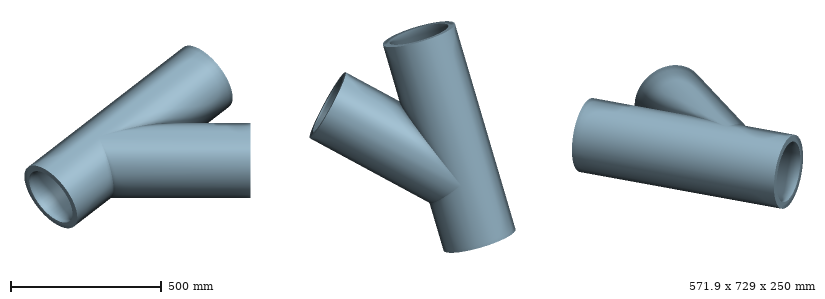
import cadquery as cq

outer_diameter = 250.0
wall_thickness = 22.7
bore_diameter = outer_diameter - 2 * wall_thickness

inlet_length = 222.0
outlet_length = 507.0
branch_length = outlet_length
branch_angle = 45.0


def run_cylinder(diameter):
    """Cylinder along Y through both ends of the run; the axes cross at the origin."""
    return (
        cq.Workplane("XZ", origin=(0, -inlet_length, 0))
        .circle(diameter / 2)
        .extrude(-(inlet_length + outlet_length))
    )


def branch_cylinder(diameter):
    """Cylinder from the axis crossing to the open end of the branch."""
    return (
        cq.Workplane("XZ")
        .circle(diameter / 2)
        .extrude(-branch_length)
        .rotate((0, 0, 0), (0, 0, 1), -branch_angle)
    )


def joined_cylinders(diameter):
    """Run and branch cylinders of one diameter, fused into a Y shape."""
    return run_cylinder(diameter).union(branch_cylinder(diameter))


result = joined_cylinders(outer_diameter).cut(joined_cylinders(bore_diameter))